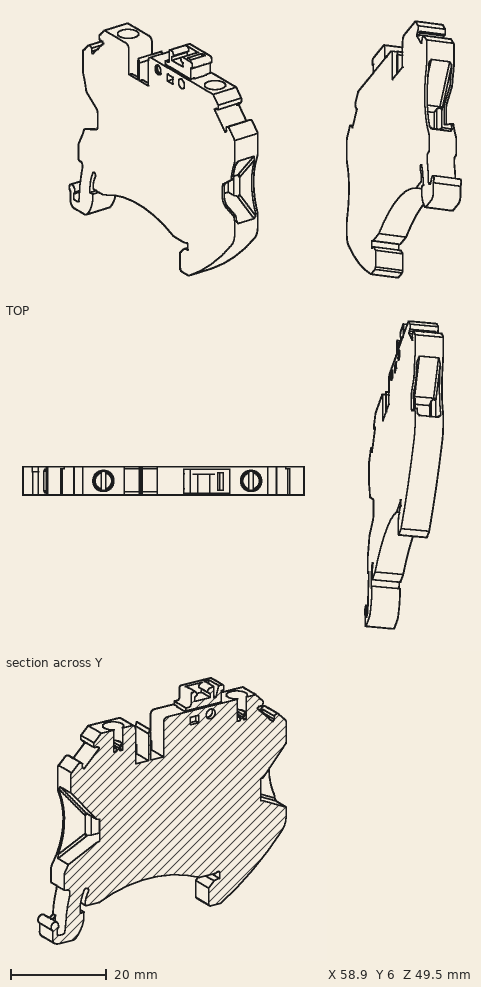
import cadquery as cq
import math

length = 58.85
thickness = 6.0
height = 49.51
front_y = -thickness / 2
back_y = thickness / 2
top_z = 45.36

wall_left = 4.9
marker_axis = (wall_left + length) / 2
wall_bend_start_z = 32.25
wall_bend_end_z = 33.0
wall_bend_inset = 0.12
wall_top_z = 37.75
wall_top_round = 0.28
shoulder_left = 10.65
lip_height = 0.95
lip_bulge = 0.1
top_corner_x = 12.55
groove_floor = -30.0
groove_upper = 53.35
groove_lower = 47.4
peak_round = 0.5
undercut_size = 0.42
undercut_rise = 0.75
groove_wall = 0.5

slot_left = 21.25
slot_right = 28.1
slot_floor_z = 38.5
slot_round = 1.1
blade_left = 24.35
blade_right = 25.0
blade_shoulder_z = 42.6
blade_tip_z = 43.5
recess_front_y = -2.27
recess_back_y = 2.55
recess_depth = 2.0

rail_z = 7.07
rail_arc_left = 12.1
rail_arc_right = 37.15
rail_arc_top_z = 9.72
hook_wall = 0.4
hook_bead_radius = 1.0
hook_bead_z = 4.2
hook_notch_start = (1.95, 4.5)
hook_notch_end = (3.72, 4.75)
hook_pocket_left = 1.65
hook_pocket_bottom_z = 2.0
hook_pocket_left_round = 0.3
hook_pocket_right_round = 0.5
hook_arm_x = 4.65
hook_ledge_left = 3.25
hook_ledge_z = 11.7
hook_ledge_round = 0.5
hook_step_left = 7.36
hook_step_right = 8.33
step_z = 5.8
foot_left = 39.41
foot_corner = 0.4
foot_inner_right = 42.1
hook_back_wall = 1.05

connection_axis = 32.3
throat_x = 11.5
throat_bottom_z = 20.9
throat_top_z = 26.05
funnel_bottom_slope = 0.48
funnel_top_slope = 1.14
funnel_front_y = -2.5
funnel_back_y = 2.45
funnel_bevel = 0.45
throat_side_bevel = 0.8
throat_end_bevel = 0.15
throat_bevel_depth = 0.9
bore_depth = 2.0
skin_cut_end_x = 10.1
skin_cut_bottom_z = 21.4
skin_cut_top_z = 25.8
skin_top_slope = 0.71
skin_bottom_slope = 0.36
skin_round = 1.1
skin_round_right_bottom = 2.0
screw_x = 16.85
screw_hole_diameter = 4.4
screw_diameter = 4.0
screw_chamfer = 0.25
screw_slot_width = 0.9
screw_depth = 4.0
screw_hole_depth = 5.0
screw_slot_depth = 0.6

round_hole_diameter = 2.1
blind_hole_diameter = 2.0
front_hole_z = 43.5
blind_hole_x = 31.6
blind_hole_depth = 0.55
blind_hole_lip = 0.4
round_hole_x = 39.95
plain_hole_depth = 2.0
square_hole_left = 34.95
square_hole_right = 36.85
square_hole_bottom_z = 42.25
square_hole_top_z = 43.8

block_front_y = -2.6
block_back_y = 2.45
block_left = 33.7
block_body_left = 34.98
block_right = 42.7
block_lip_right = 43.25
block_step_z = 46.3
block_lip_z = 48.1
block_round = 0.55
block_gap = 0.15
block_gap_inset = 1.0
clip_floor_z = 47.3
clip_left = 36.0
clip_right = 39.8
clip_neck_left = 36.6
clip_neck_right = 39.1
clip_neck_z = 48.6
clip_shoulder_z = 48.1
clip_back_y = 1.36
window_left = 40.75
window_right = 41.9
window_floor_right = 41.2
window_front_y = -1.95
window_back_y = 1.7
window_depth = 2.5


def sketch_at(y):
    """XZ work plane at the given Y; extrusions run toward the front (-Y)."""
    return cq.Workplane("XZ", origin=(0, y, 0))


def box(x0, x1, y0, y1, z0, z1):
    return cq.Workplane("XY").box(x1 - x0, y1 - y0, z1 - z0, centered=False).translate((x0, y0, z0))


def mirrored(solid, axis):
    """Mirror a solid about the plane X = axis."""
    return solid.mirror("YZ", (axis, 0, 0))


def groove_point(difference, total):
    """Point with the given X - Z and X + Z."""
    return ((total + difference) / 2, (total - difference) / 2)


def marker_flank():
    """Points of the left flank from the side wall up to the housing top."""
    diagonal = wall_left - wall_top_z
    peak_x, peak_z = groove_point(diagonal, groove_lower)
    lip_top_z = top_z - (top_corner_x - shoulder_left)
    lip_end_z = lip_top_z - lip_height
    return [
        (wall_left, wall_top_z - wall_top_round / 2),
        (wall_left + wall_top_round, wall_top_z + wall_top_round),
        (peak_x - peak_round, peak_z - peak_round),
        (peak_x + peak_round, peak_z - peak_round),
        groove_point(groove_floor, groove_lower),
        groove_point(groove_floor, groove_upper),
        groove_point(groove_upper - 2 * lip_end_z, groove_upper),
        (shoulder_left, (lip_top_z + lip_end_z) / 2),
        (shoulder_left + lip_bulge, lip_top_z + lip_bulge),
        (top_corner_x, top_z),
    ]


def housing():
    left = marker_flank()
    right = [(2 * marker_axis - x, z) for x, z in reversed(left)]
    bead_reach = math.sqrt(hook_bead_radius**2 - (hook_bead_radius - hook_wall)**2)
    blade_x = (blade_left + blade_right) / 2
    outline = (
        sketch_at(back_y)
        .moveTo(5.4, 0)
        .lineTo(1.75, 0)
        .threePointArc((0.8, 0.45), (hook_wall, 1.6))
        .lineTo(hook_wall, hook_bead_z - bead_reach)
        .threePointArc((hook_bead_radius, hook_bead_z + hook_bead_radius), hook_notch_start)
        .threePointArc((2.9, 4.15), hook_notch_end)
        .threePointArc((4.0, 7.4), (4.5, 9.76))
        .threePointArc((hook_arm_x, 10.4), (hook_arm_x, hook_ledge_z - hook_ledge_round))
        .tangentArcPoint((-hook_ledge_round, hook_ledge_round), relative=True)
        .lineTo(hook_ledge_left + hook_ledge_round, hook_ledge_z)
        .tangentArcPoint((-hook_ledge_round, hook_ledge_round), relative=True)
        .lineTo(hook_ledge_left, 15.05)
        .threePointArc((3.32, 15.55), (3.55, 16.05))
        .threePointArc((6.3, 25.75), (wall_left + wall_bend_inset, wall_bend_start_z))
        .tangentArcPoint((wall_left, wall_bend_end_z), relative=False)
        .lineTo(*left[0])
        .tangentArcPoint(left[1], relative=False)
        .lineTo(*left[2])
        .tangentArcPoint(left[3], relative=False)
        .polyline(left[4:7], includeCurrent=True)
        .threePointArc(left[7], left[8])
        .lineTo(*left[9])
        .lineTo(slot_left - slot_round, top_z)
        .tangentArcPoint((slot_round, -slot_round), relative=True)
        .lineTo(slot_left, slot_floor_z)
        .lineTo(blade_left, slot_floor_z)
        .lineTo(blade_left, blade_shoulder_z)
        .lineTo(blade_x, blade_tip_z)
        .lineTo(blade_right, blade_shoulder_z)
        .lineTo(blade_right, slot_floor_z)
        .lineTo(slot_right, slot_floor_z)
        .lineTo(slot_right, top_z - slot_round)
        .tangentArcPoint((slot_round, slot_round), relative=True)
        .lineTo(*right[0])
        .lineTo(*right[1])
        .threePointArc(right[2], right[3])
        .polyline(right[4:7], includeCurrent=True)
        .tangentArcPoint(right[7], relative=False)
        .lineTo(*right[8])
        .tangentArcPoint(right[9], relative=False)
        .lineTo(length, wall_bend_end_z)
        .tangentArcPoint((length - wall_bend_inset, wall_bend_start_z), relative=False)
        .threePointArc((57.4, 25.6), (58.4, 20.2))
        .threePointArc((58.73, 19.4), (length, 18.6))
        .lineTo(length, 16.1)
        .threePointArc((58.55, 14.3), (57.7, 12.9))
        .threePointArc((52.15, 7.2), (42.5, 0))
        .lineTo(foot_left + foot_corner, 0)
        .lineTo(foot_left, foot_corner)
        .lineTo(foot_left, 4.2)
        .lineTo(40.75, 5.55)
        .threePointArc((41.4, 5.75), (foot_inner_right, step_z))
        .lineTo(foot_inner_right, 7.15)
        .threePointArc((41.95, 7.38), (41.7, 7.3))
        .lineTo(41.05, rail_z)
        .lineTo(rail_arc_right, rail_z)
        .threePointArc(((rail_arc_left + rail_arc_right) / 2, rail_arc_top_z), (rail_arc_left, rail_z))
        .lineTo(9.05, rail_z)
        .threePointArc((8.6, 7.25), (8.5, 7.65))
        .threePointArc((8.75, 8.95), (9.35, 10.3))
        .threePointArc((9.05, 11.0), (8.35, 10.6))
        .threePointArc((7.6, 8.5), (hook_step_left, step_z))
        .lineTo(hook_step_right, step_z)
        .lineTo(hook_step_right, 4.2)
        .threePointArc((7.6, 2.1), (6.2, 0.25))
        .threePointArc((5.85, 0.05), (5.4, 0))
        .close()
    )
    return outline.extrude(thickness)


def hook_pocket():
    """Deep part of the hook notch, closed by a wall at the back."""
    depth = thickness - hook_back_wall
    return (
        sketch_at(back_y - hook_back_wall)
        .moveTo(*hook_notch_start)
        .lineTo(2.03, 3.85)
        .lineTo(hook_pocket_left, 3.3)
        .lineTo(hook_pocket_left, hook_pocket_bottom_z + hook_pocket_left_round)
        .tangentArcPoint((hook_pocket_left_round, -hook_pocket_left_round), relative=True)
        .lineTo(2.95, hook_pocket_bottom_z)
        .tangentArcPoint((hook_pocket_right_round, hook_pocket_right_round), relative=True)
        .lineTo(*hook_notch_end)
        .close()
        .extrude(depth)
    )


def marker_undercuts():
    """Undercuts at both ends of the left marker groove."""
    upper_x, upper_z = groove_point(groove_floor, groove_upper)
    lower_x, lower_z = groove_point(groove_floor, groove_lower)
    plane = sketch_at(back_y - groove_wall)
    upper = plane.polyline([
        (upper_x, upper_z),
        (upper_x + undercut_size, upper_z + undercut_size),
        (upper_x, upper_z + undercut_rise),
        (upper_x - undercut_rise, upper_z + undercut_rise),
    ]).close().extrude(thickness)
    lower = plane.polyline([
        (lower_x, lower_z),
        (lower_x - undercut_size, lower_z - undercut_size),
        (lower_x - undercut_rise, lower_z),
        (lower_x - undercut_rise, lower_z + undercut_rise),
    ]).close().extrude(thickness)
    return upper.union(lower)


def wire_funnel():
    """Left wire entry: bevelled funnel, bevelled throat and a short bore behind it."""
    drop = throat_x * funnel_bottom_slope
    rise = throat_x * funnel_top_slope
    width = funnel_back_y - funnel_front_y
    throat_height = throat_top_z - throat_bottom_z
    middle_y = (funnel_front_y + funnel_back_y) / 2
    middle_z = (throat_bottom_z + throat_top_z) / 2
    funnel = (
        sketch_at(funnel_back_y)
        .polyline([
            (0, throat_bottom_z - drop),
            (throat_x, throat_bottom_z),
            (throat_x, throat_top_z),
            (0, throat_top_z + rise),
        ])
        .close()
        .extrude(width)
        .faces("<Z or >Z").edges("<Y or >Y").chamfer(funnel_bevel)
    )
    throat = (
        cq.Workplane("YZ", origin=(throat_x, middle_y, middle_z))
        .rect(width, throat_height)
        .workplane(offset=throat_bevel_depth)
        .rect(width - 2 * throat_side_bevel, throat_height - 2 * throat_end_bevel)
        .loft()
        .faces(">X").wires().toPending().extrude(bore_depth)
    )
    return funnel.union(throat)


def funnel_skin_cut(bottom_round):
    """Opening in the thin front skin over the left funnel."""
    drop = skin_cut_end_x * skin_bottom_slope
    rise = skin_cut_end_x * skin_top_slope
    middle_y = (front_y + funnel_front_y) / 2
    return (
        sketch_at(funnel_front_y)
        .polyline([
            (0, skin_cut_bottom_z - drop),
            (skin_cut_end_x, skin_cut_bottom_z),
            (skin_cut_end_x, skin_cut_top_z),
            (0, skin_cut_top_z + rise),
        ])
        .close()
        .extrude(funnel_front_y - front_y)
        .edges(cq.selectors.NearestToPointSelector((skin_cut_end_x, middle_y, skin_cut_top_z)))
        .fillet(skin_round)
        .edges(cq.selectors.NearestToPointSelector((skin_cut_end_x, middle_y, skin_cut_bottom_z)))
        .fillet(bottom_round)
    )


def screw_opening():
    """Left screw hole with a slotted screw head at its bottom."""
    hole = (
        cq.Workplane("XY", origin=(screw_x, 0, top_z))
        .circle(screw_hole_diameter / 2)
        .extrude(-screw_hole_depth)
    )
    head = (
        cq.Workplane("XY", origin=(screw_x, 0, top_z - screw_hole_depth))
        .circle(screw_diameter / 2)
        .extrude(screw_hole_depth - screw_depth)
        .faces(">Z").edges().chamfer(screw_chamfer)
    )
    half_slot = screw_slot_width / 2
    head_top_z = top_z - screw_depth
    slot = box(screw_x - half_slot, screw_x + half_slot, front_y, back_y,
               head_top_z - screw_slot_depth, head_top_z)
    return hole.cut(head.cut(slot))


def slot_recesses():
    """Sunken floors on both sides of the blade."""
    recess_z = slot_floor_z - recess_depth
    left = box(slot_left, blade_left, recess_front_y, recess_back_y, recess_z, slot_floor_z)
    right = box(blade_right, slot_right, recess_front_y, recess_back_y, recess_z, slot_floor_z)
    return left.union(right)


def front_openings():
    front = sketch_at(front_y)
    blind = front.center(blind_hole_x, front_hole_z)
    lip = blind.circle(round_hole_diameter / 2).extrude(-blind_hole_lip)
    core = blind.circle(blind_hole_diameter / 2).extrude(-blind_hole_depth)
    plain = front.center(round_hole_x, front_hole_z)
    plain = plain.circle(round_hole_diameter / 2).extrude(-plain_hole_depth)
    square = box(square_hole_left, square_hole_right, front_y, front_y + plain_hole_depth,
                 square_hole_bottom_z, square_hole_top_z)
    return lip.union(core).union(plain).union(square)


def block():
    """Add-on block with a lip, a clip seat open to the front and a wedge window."""
    width = block_back_y - block_front_y
    base_z = top_z + block_gap
    lip_round = (block_lip_right - block_right) / 2
    body = (
        sketch_at(block_back_y)
        .moveTo(block_left, base_z)
        .lineTo(block_left, block_step_z)
        .lineTo(block_body_left - block_round, block_step_z)
        .tangentArcPoint((block_round, block_round), relative=True)
        .lineTo(block_body_left, height - block_round)
        .tangentArcPoint((block_round, block_round), relative=True)
        .lineTo(block_lip_right - block_round, height)
        .tangentArcPoint((block_round, -block_round), relative=True)
        .lineTo(block_lip_right, block_lip_z + lip_round)
        .tangentArcPoint((-lip_round, -lip_round), relative=True)
        .lineTo(block_right, block_lip_z)
        .lineTo(block_right, base_z)
        .close()
        .extrude(width)
    )
    lip_radius = height - clip_neck_z
    arc_up = lip_radius * math.sqrt(0.5)
    arc_in = lip_radius - arc_up
    clip_seat = (
        sketch_at(clip_back_y)
        .moveTo(clip_left, clip_floor_z)
        .lineTo(clip_left, clip_shoulder_z)
        .lineTo(clip_neck_left, clip_neck_z)
        .threePointArc((clip_neck_left - arc_in, clip_neck_z + arc_up), (clip_neck_left - lip_radius, height))
        .lineTo(clip_neck_right + lip_radius, height)
        .threePointArc((clip_neck_right + arc_in, clip_neck_z + arc_up), (clip_neck_right, clip_neck_z))
        .lineTo(clip_right, clip_shoulder_z)
        .lineTo(clip_right, clip_floor_z)
        .close()
        .extrude(clip_back_y - block_front_y)
    )
    window = (
        sketch_at(window_back_y)
        .polyline([
            (window_left, height),
            (window_left, height - window_depth),
            (window_floor_right, height - window_depth),
            (window_right, height),
        ])
        .close()
        .extrude(window_back_y - window_front_y)
    )
    base = box(block_left, block_right, block_front_y + block_gap_inset,
               block_back_y - block_gap_inset, top_z, base_z)
    return body.cut(clip_seat).cut(window).union(base)


part = housing().cut(hook_pocket()).cut(slot_recesses()).cut(front_openings())
undercuts = marker_undercuts()
part = part.cut(undercuts).cut(mirrored(undercuts, marker_axis))
part = part.cut(funnel_skin_cut(skin_round))
part = part.cut(mirrored(funnel_skin_cut(skin_round_right_bottom), connection_axis))
for opening in (wire_funnel(), screw_opening()):
    part = part.cut(opening).cut(mirrored(opening, connection_axis))
result = part.union(block())